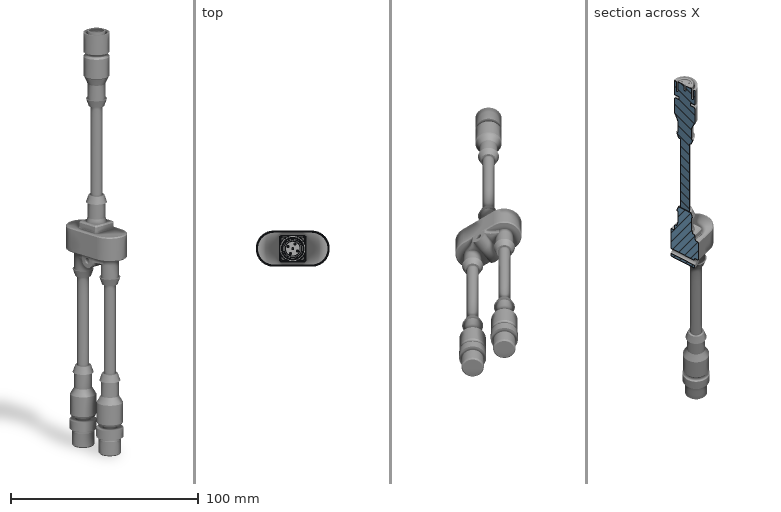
import cadquery as cq
import math

TOTAL_HEIGHT = 234.0
CABLE_DIA = 6.3
CABLE_LENGTH = 49.9
SLEEVE_DIA = 9.5
RING_DIA = 11.2
RELIEF_TIP_DIA = 8.5
RELIEF_TIP_LENGTH = 4.0
GRIP_DIA = 14.0

BLOCK_LENGTH = 38.9
BLOCK_WIDTH = 18.7
BLOCK_BOTTOM = 109.8
BLOCK_TOP = 123.4
BLOCK_CHAMFER = 0.59
LEG_X = 10.3

PLATE_LIP_SIDE = 14.3
PLATE_LIP_HEIGHT = 0.7
PLATE_SIDE = 13.8
PLATE_HEIGHT = 4.2
PLATE_CORNER_CHAMFER = 1.0
PLATE_TOP_CHAMFER = 0.7
FOOT_DIA = 11.0
FOOT_HEIGHT = 2.3

LUG_DIA = 8.0
LUG_HOLE_DIA = 3.3
LUG_CENTER_Z = 106.7
LUG_FRONT_Y = -6.8
LUG_BACK_Y = BLOCK_WIDTH / 2
WEB_BOTTOM = 106.7
WEB_END_HALF_WIDTH = 5.2
WEB_FRONT_RADIUS = 30.5
WEB_BACK_RADIUS = 14.0

LEG_PLUG_TIP = 45.0
LEG_BLOCK_TIP = LEG_PLUG_TIP + CABLE_LENGTH
TRUNK_BLOCK_TIP = 142.3
TRUNK_SOCKET_TIP = TRUNK_BLOCK_TIP + CABLE_LENGTH

THREAD_DIA = 12.0
THREAD_CHAMFER = 0.7
THREAD_TOP = 8.2
UNDERCUT_DIA = 10.8
PLUG_NUT_DIA = 14.5
PLUG_NUT_BOTTOM = 9.5
PLUG_NUT_TOP = 14.7
PLUG_NECK_DIA = 8.0
PLUG_NECK_ROOT_DIA = 9.0
PLUG_GRIP_BOTTOM = 16.6
PLUG_GRIP_CHAMFER = 0.7
PLUG_GRIP_CHAMFER_HEIGHT = 1.2
PLUG_GRIP_TOP = 28.8
PLUG_SHOULDER_TOP = 32.5

SOCKET_SHOULDER_BOTTOM = 204.5
SOCKET_GRIP_BOTTOM = 208.5
SOCKET_GRIP_EDGE_CHAMFER = 0.5
SOCKET_GRIP_TOP = 220.8
SOCKET_GRIP_CHAMFER = 1.0
SOCKET_NECK_DIA = 8.0
SOCKET_NUT_BOTTOM = 222.5
SOCKET_NUT_TOP = 233.2
SOCKET_NUT_BORE = 11.0
SOCKET_NUT_MOUTH_DIA = 12.0
SOCKET_NUT_BORE_DEPTH = 7.0
INSERT_DIA = 9.5
INSERT_RECESS_DIA = 8.0
INSERT_RECESS_DEPTH = 0.7
CONTACT_DIA = 1.0
CONTACT_DEPTH = 4.7
CONTACT_CIRCLE_RADIUS = 2.8
CONTACT_COUNT = 4
CONTACT_FIRST_ANGLE = 65


def turned(x, diameters_and_heights):
    """Solid turned about a vertical axis at x, from (diameter, z) points listed along its outline."""
    outline = [(diameter / 2, z) for diameter, z in diameters_and_heights]
    start = (0, outline[0][1])
    end = (0, outline[-1][1])
    profile = cq.Workplane("XZ").polyline([start, *outline, end]).close()
    return profile.revolve(360, (0, 0, 0), (0, 1, 0)).translate((x, 0, 0))


def relief_tip(tip_z, direction):
    """Outline of a strain relief's ring and cone, from the sleeve to the tip; direction is +1 for a tip up."""
    ring_z = tip_z - direction * RELIEF_TIP_LENGTH
    return [(SLEEVE_DIA, ring_z), (RING_DIA, ring_z), (RELIEF_TIP_DIA, tip_z)]


def splitter_block():
    height = BLOCK_TOP - BLOCK_BOTTOM
    block = cq.Workplane("XY").workplane(offset=BLOCK_BOTTOM).slot2D(BLOCK_LENGTH, BLOCK_WIDTH)
    return block.extrude(height).faces("<Z or >Z").edges().chamfer(BLOCK_CHAMFER)


def trunk_plate():
    """Square plate on top of the block, with a low lip around its base."""
    base = cq.Workplane("XY").workplane(offset=BLOCK_TOP)
    lip = base.rect(PLATE_LIP_SIDE, PLATE_LIP_SIDE).extrude(PLATE_LIP_HEIGHT)
    lip = lip.edges("|Z").chamfer(PLATE_CORNER_CHAMFER)
    plate = base.rect(PLATE_SIDE, PLATE_SIDE).extrude(PLATE_HEIGHT)
    plate = plate.edges("|Z").chamfer(PLATE_CORNER_CHAMFER)
    plate = plate.faces(">Z").edges().chamfer(PLATE_TOP_CHAMFER)
    return plate.union(lip)


def trunk_relief():
    foot_bottom = BLOCK_TOP + PLATE_HEIGHT
    foot = [(FOOT_DIA, foot_bottom), (SLEEVE_DIA, foot_bottom + FOOT_HEIGHT)]
    return turned(0, foot + relief_tip(TRUNK_BLOCK_TIP, 1))


def leg_relief(x):
    return turned(x, [(SLEEVE_DIA, BLOCK_BOTTOM)] + relief_tip(LEG_BLOCK_TIP, -1))


def web():
    """Web from leg to leg, its four hollow sides curving out to the corners of the lug."""
    lug_x = LUG_DIA / 2
    outline = (
        cq.Workplane("XY", origin=(0, 0, WEB_BOTTOM))
        .moveTo(-LEG_X, -WEB_END_HALF_WIDTH)
        .radiusArc((-lug_x, LUG_FRONT_Y), WEB_FRONT_RADIUS)
        .lineTo(lug_x, LUG_FRONT_Y)
        .radiusArc((LEG_X, -WEB_END_HALF_WIDTH), WEB_FRONT_RADIUS)
        .lineTo(LEG_X, WEB_END_HALF_WIDTH)
        .radiusArc((lug_x, LUG_BACK_Y), WEB_BACK_RADIUS)
        .lineTo(-lug_x, LUG_BACK_Y)
        .radiusArc((-LEG_X, WEB_END_HALF_WIDTH), WEB_BACK_RADIUS)
        .close()
    )
    return outline.extrude(BLOCK_BOTTOM - WEB_BOTTOM)


def tie_lug():
    """Web and rounded lug hanging below the block, with a tie hole through both."""
    depth = LUG_BACK_Y - LUG_FRONT_Y
    front = cq.Workplane("XZ", origin=(0, LUG_FRONT_Y, 0))
    strap_height = BLOCK_BOTTOM - LUG_CENTER_Z
    strap = front.center(0, LUG_CENTER_Z + strap_height / 2).rect(LUG_DIA, strap_height).extrude(-depth)
    lug = front.center(0, LUG_CENTER_Z).circle(LUG_DIA / 2).extrude(-depth)
    hole = front.center(0, LUG_CENTER_Z).circle(LUG_HOLE_DIA / 2).extrude(-depth)
    return web().union(strap).union(lug).cut(hole)


def splitter():
    body = splitter_block().union(trunk_plate()).union(trunk_relief()).union(tie_lug())
    for x in (-LEG_X, LEG_X):
        body = body.union(leg_relief(x))
    return body


def leg_lead(x):
    """Cable and plug of one leg, from the threaded end up to the splitter."""
    thread = [
        (THREAD_DIA - 2 * THREAD_CHAMFER, 0),
        (THREAD_DIA, THREAD_CHAMFER),
        (THREAD_DIA, THREAD_TOP),
        (UNDERCUT_DIA, PLUG_NUT_BOTTOM),
    ]
    nut = [
        (PLUG_NUT_DIA, PLUG_NUT_BOTTOM),
        (PLUG_NUT_DIA, PLUG_NUT_TOP),
        (PLUG_NECK_DIA, PLUG_NUT_TOP),
        (PLUG_NECK_ROOT_DIA, PLUG_GRIP_BOTTOM),
    ]
    grip = [
        (GRIP_DIA - 2 * PLUG_GRIP_CHAMFER, PLUG_GRIP_BOTTOM),
        (GRIP_DIA, PLUG_GRIP_BOTTOM + PLUG_GRIP_CHAMFER_HEIGHT),
        (GRIP_DIA, PLUG_GRIP_TOP),
        (SLEEVE_DIA, PLUG_SHOULDER_TOP),
    ]
    cable = [(CABLE_DIA, LEG_PLUG_TIP), (CABLE_DIA, LEG_BLOCK_TIP)]
    return turned(x, thread + nut + grip + relief_tip(LEG_PLUG_TIP, 1) + cable)


def contact_holes():
    bottom = TOTAL_HEIGHT - CONTACT_DEPTH
    plane = cq.Workplane("XY").workplane(offset=bottom)
    holes = plane.circle(CONTACT_DIA / 2).extrude(CONTACT_DEPTH)
    for i in range(CONTACT_COUNT):
        angle = math.radians(CONTACT_FIRST_ANGLE + i * 360 / CONTACT_COUNT)
        x = CONTACT_CIRCLE_RADIUS * math.cos(angle)
        y = CONTACT_CIRCLE_RADIUS * math.sin(angle)
        holes = holes.union(plane.center(x, y).circle(CONTACT_DIA / 2).extrude(CONTACT_DEPTH))
    return holes


def trunk_lead():
    """Cable and socket of the trunk, from the splitter up to the mating face."""
    cable = [(CABLE_DIA, TRUNK_BLOCK_TIP), (CABLE_DIA, TRUNK_SOCKET_TIP)]
    relief = relief_tip(TRUNK_SOCKET_TIP, -1)[::-1]
    grip = [
        (SLEEVE_DIA, SOCKET_SHOULDER_BOTTOM),
        (GRIP_DIA - 2 * SOCKET_GRIP_EDGE_CHAMFER, SOCKET_GRIP_BOTTOM),
        (GRIP_DIA, SOCKET_GRIP_BOTTOM + SOCKET_GRIP_EDGE_CHAMFER),
        (GRIP_DIA, SOCKET_GRIP_TOP - SOCKET_GRIP_CHAMFER),
        (GRIP_DIA - 2 * SOCKET_GRIP_CHAMFER, SOCKET_GRIP_TOP),
    ]
    neck = [(SOCKET_NECK_DIA, SOCKET_GRIP_TOP), (SOCKET_NECK_DIA, SOCKET_NUT_BOTTOM)]
    bore_floor = SOCKET_NUT_TOP - SOCKET_NUT_BORE_DEPTH
    mouth_depth = (SOCKET_NUT_MOUTH_DIA - SOCKET_NUT_BORE) / 2
    nut = [
        (GRIP_DIA, SOCKET_NUT_BOTTOM),
        (GRIP_DIA, SOCKET_NUT_TOP),
        (SOCKET_NUT_MOUTH_DIA, SOCKET_NUT_TOP),
        (SOCKET_NUT_BORE, SOCKET_NUT_TOP - mouth_depth),
        (SOCKET_NUT_BORE, bore_floor),
    ]
    contact_face = TOTAL_HEIGHT - INSERT_RECESS_DEPTH
    insert = [
        (INSERT_DIA, bore_floor),
        (INSERT_DIA, TOTAL_HEIGHT),
        (INSERT_RECESS_DIA, TOTAL_HEIGHT),
        (INSERT_RECESS_DIA, contact_face),
    ]
    return turned(0, cable + relief + grip + neck + nut + insert).cut(contact_holes())


splitter_body = splitter()
trunk = trunk_lead()
legs = [leg_lead(x) for x in (-LEG_X, LEG_X)]

result = cq.Compound.makeCompound([splitter_body.val(), trunk.val(), *[leg.val() for leg in legs]])